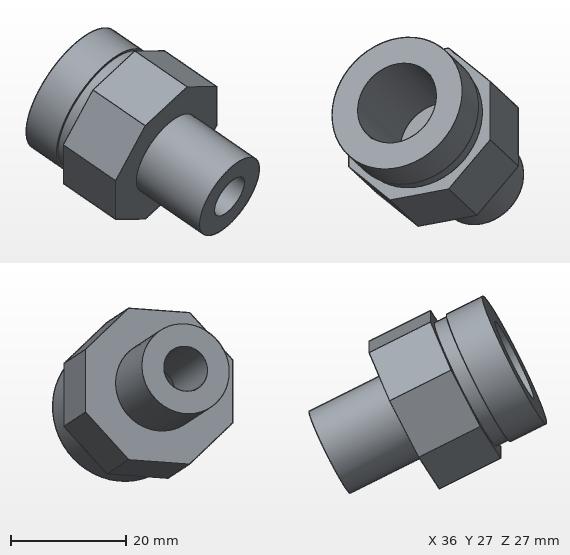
import cadquery as cq
import math

total_length = 36.0
collar_length = 7.0
neck_length = 2.52
octagon_length = 12.0
octagon_start = collar_length + neck_length
spigot_start = octagon_start + octagon_length
spigot_length = total_length - spigot_start

across_flats = 27.0
across_corners = across_flats / math.cos(math.pi / 8)
collar_diameter = 24.8
neck_diameter = 24.0
spigot_diameter = 16.0

socket_diameter = 15.0
socket_depth = total_length / 2
through_diameter = 8.0


def cylinder(start, length, diameter):
    """Cylinder on the X axis, beginning at x = start."""
    return cq.Workplane("YZ", origin=(start, 0, 0)).circle(diameter / 2).extrude(length)


def octagon_body():
    """Octagonal wrench section with flats facing Y and Z."""
    return (
        cq.Workplane("YZ", origin=(octagon_start, 0, 0))
        .transformed(rotate=(0, 0, 180 / 8))
        .polygon(8, across_corners)
        .extrude(octagon_length)
    )


collar = cylinder(0, collar_length, collar_diameter)
neck = cylinder(collar_length, neck_length, neck_diameter)
spigot = cylinder(spigot_start, spigot_length, spigot_diameter)
body = collar.union(neck).union(octagon_body()).union(spigot)

socket = cylinder(0, socket_depth, socket_diameter)
through_bore = cylinder(0, total_length, through_diameter)
result = body.cut(socket).cut(through_bore)